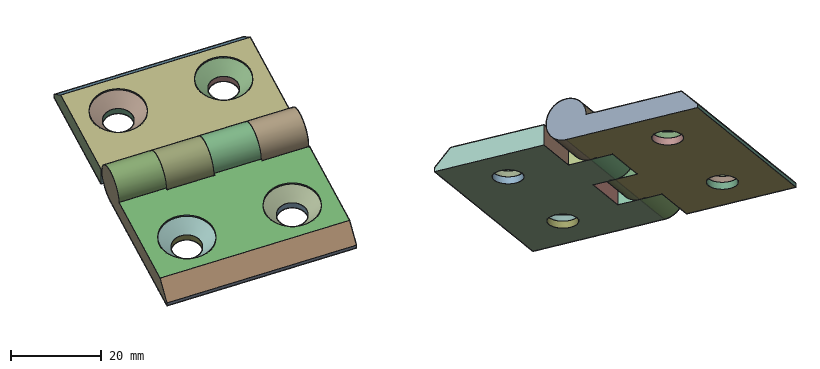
import cadquery as cq

LENGTH = 66.0
WIDTH = 45.0
BARREL_DIAMETER = 10.0
KNUCKLE_COUNT = 4
KNUCKLE_CLEARANCE = 0.5
BEVEL_RUN = 4.0
EDGE_HEIGHT = 1.0
HOLE_X = 20.0
HOLE_PITCH_Y = 25.0
HOLE_DIAMETER = 7.0
SINK_DIAMETER = 12.8
SINK_LIP = 0.4

BARREL_RADIUS = BARREL_DIAMETER / 2
THICKNESS = BARREL_RADIUS
LEAF_END = LENGTH / 2
LEAF_ROOT = BARREL_RADIUS + KNUCKLE_CLEARANCE
KNUCKLE_WIDTH = WIDTH / KNUCKLE_COUNT
HOLE_RADIUS = HOLE_DIAMETER / 2
SINK_RADIUS = SINK_DIAMETER / 2
CONE_DEPTH = SINK_RADIUS - HOLE_RADIUS


def leaf_plate():
    """Flat leaf on the +X side with a beveled outer edge."""
    return (
        cq.Workplane("XZ", origin=(0, WIDTH / 2, 0))
        .moveTo(LEAF_ROOT, 0)
        .lineTo(LEAF_END, 0)
        .lineTo(LEAF_END, EDGE_HEIGHT)
        .lineTo(LEAF_END - BEVEL_RUN, THICKNESS)
        .lineTo(LEAF_ROOT, THICKNESS)
        .close()
        .extrude(WIDTH)
    )


def knuckle(start_y):
    """Solid barrel segment and the web that joins it to the +X leaf."""
    barrel = (
        cq.Workplane("XZ", origin=(0, start_y, BARREL_RADIUS))
        .circle(BARREL_RADIUS)
        .extrude(-KNUCKLE_WIDTH)
    )
    web = (
        cq.Workplane("XY", origin=(0, start_y, 0))
        .box(LEAF_ROOT, KNUCKLE_WIDTH, THICKNESS, centered=False)
    )
    return barrel.union(web)


def countersunk_hole(y):
    """Cutter for one screw hole: through hole, cone and lip."""
    cone_top = THICKNESS - SINK_LIP
    return (
        cq.Workplane("XZ")
        .lineTo(HOLE_RADIUS, 0)
        .lineTo(HOLE_RADIUS, cone_top - CONE_DEPTH)
        .lineTo(SINK_RADIUS, cone_top)
        .lineTo(SINK_RADIUS, THICKNESS)
        .lineTo(0, THICKNESS)
        .close()
        .revolve(360, (0, 0), (0, 1))
        .translate((HOLE_X, y, 0))
    )


def hinge_leaf():
    """Leaf on the +X side, with every other knuckle starting at -Y."""
    leaf = leaf_plate()
    for index in range(0, KNUCKLE_COUNT, 2):
        leaf = leaf.union(knuckle(-WIDTH / 2 + index * KNUCKLE_WIDTH))
    for y in (-HOLE_PITCH_Y / 2, HOLE_PITCH_Y / 2):
        leaf = leaf.cut(countersunk_hole(y))
    return leaf


right_leaf = hinge_leaf()
left_leaf = right_leaf.rotate((0, 0, 0), (0, 0, 1), 180)

result = cq.Compound.makeCompound([right_leaf.val(), left_leaf.val()])